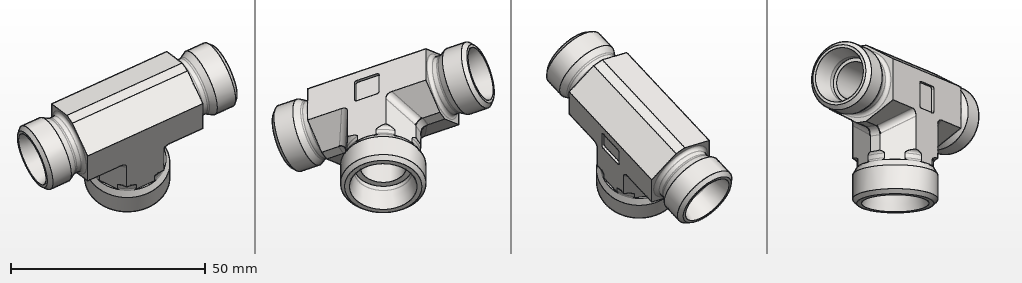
import cadquery as cq
import math


ACROSS_FLATS = 19.0
CORNER_HALF_HEIGHT = 10.15
RUN_HEX_LENGTH = 34.0
BODY_FILLET = 2.0

RUN_REACH = 28.0
BRANCH_REACH = 27.95

RUN_COLLAR_DIAMETER = 18.0
BRANCH_COLLAR_DIAMETER = 22.0
BRANCH_COLLAR_LENGTH = 7.4
RUN_GROOVE_DIAMETER = 15.7
GROOVE_DEPTH = (RUN_COLLAR_DIAMETER - RUN_GROOVE_DIAMETER) / 2
GROOVE_WIDTH = 4.55
GROOVE_TAPER = math.radians(30)
GROOVE_FILLET = 1.0
COLLAR_CHAMFER = 1.05
RUN_COLLAR_LENGTH = RUN_REACH - RUN_HEX_LENGTH / 2 - GROOVE_WIDTH

CONE_HALF_ANGLE = math.radians(12)
SOCKET_DEPTH = 7.0
RUN_BORE = 10.0
RUN_SOCKET = 12.0
RUN_CONE_MOUTH = 14.35
BRANCH_BORE = 12.0
BRANCH_SOCKET = 15.0
BRANCH_CONE_MOUTH = 17.35

PANEL_SIZE = 7.05
PANEL_CORNER_RADIUS = 0.7
PANEL_DEPTH = 0.7
PANEL_Z = -1.0

HALF_FLATS = ACROSS_FLATS / 2
FLAT_HALF_SIDE = HALF_FLATS * math.tan(math.radians(30))
CORNER_HALF_WIDTH = (2 * FLAT_HALF_SIDE - CORNER_HALF_HEIGHT) * math.tan(math.radians(60))
TOLERANCE = 0.005


def hexagon(plane):
    """Hexagon outline with flats at +X and -X and its two other corners cut off."""
    quarter = [(HALF_FLATS, FLAT_HALF_SIDE), (CORNER_HALF_WIDTH, CORNER_HALF_HEIGHT)]
    upper = quarter + [(-x, y) for x, y in reversed(quarter)]
    lower = [(-x, -y) for x, y in upper]
    return cq.Workplane(plane).polyline(upper + lower).close()


def taper_start(collar_diameter, collar_length):
    """Radius and distance from the end face where the taper runs into the groove fillet."""
    radius = collar_diameter / 2 - GROOVE_DEPTH + GROOVE_FILLET * (1 - math.cos(GROOVE_TAPER))
    distance = collar_length + (collar_diameter / 2 - radius) / math.tan(GROOVE_TAPER)
    return radius, distance


def collar(diameter, length):
    """Chamfered and tapered collar along +Z with its end face at Z = 0."""
    radius = diameter / 2
    taper_radius, taper_end = taper_start(diameter, length)
    return (
        cq.Workplane("XZ")
        .moveTo(0, 0)
        .lineTo(radius - COLLAR_CHAMFER, 0)
        .lineTo(radius, COLLAR_CHAMFER)
        .lineTo(radius, length)
        .lineTo(taper_radius, taper_end)
        .lineTo(0, taper_end)
        .close()
        .revolve(360, (0, 0, 0), (0, 1, 0))
    )


def neck(diameter, length):
    """Core left by the undercut, from the taper of the collar to the shoulder."""
    groove_radius = diameter / 2 - GROOVE_DEPTH
    taper_radius, taper_end = taper_start(diameter, length)
    shoulder = length + GROOVE_WIDTH
    groove_start = taper_end + GROOVE_FILLET * math.sin(GROOVE_TAPER)
    half_taper = GROOVE_TAPER / 2
    taper_fillet_middle = (
        groove_radius + GROOVE_FILLET * (1 - math.cos(half_taper)),
        groove_start - GROOVE_FILLET * math.sin(half_taper),
    )
    quarter_arc_inset = GROOVE_FILLET * (1 - math.cos(math.radians(45)))
    shoulder_fillet_middle = (groove_radius + quarter_arc_inset, shoulder - quarter_arc_inset)
    return (
        cq.Workplane("XZ")
        .moveTo(0, taper_end)
        .lineTo(taper_radius, taper_end)
        .threePointArc(taper_fillet_middle, (groove_radius, groove_start))
        .lineTo(groove_radius, shoulder - GROOVE_FILLET)
        .threePointArc(shoulder_fillet_middle, (groove_radius + GROOVE_FILLET, shoulder))
        .lineTo(0, shoulder)
        .close()
        .revolve(360, (0, 0, 0), (0, 1, 0))
    )


def bore(bore_diameter, socket_diameter, mouth_diameter, reach):
    """Stepped bore along +Z, from the end face at Z = 0 to the crossing point."""
    cone_depth = (mouth_diameter - socket_diameter) / 2 / math.tan(CONE_HALF_ANGLE)
    return (
        cq.Workplane("XZ")
        .moveTo(0, 0)
        .lineTo(mouth_diameter / 2, 0)
        .lineTo(socket_diameter / 2, cone_depth)
        .lineTo(socket_diameter / 2, SOCKET_DEPTH)
        .lineTo(bore_diameter / 2, SOCKET_DEPTH)
        .lineTo(bore_diameter / 2, reach)
        .lineTo(0, reach)
        .close()
        .revolve(360, (0, 0, 0), (0, 1, 0))
    )


def at_run_end(shape, side):
    """Move a shape built along +Z to the run end at +Y (side = 1) or -Y (side = -1)."""
    return shape.rotate((0, 0, 0), (1, 0, 0), side * 90).translate((0, side * RUN_REACH, 0))


def at_branch_end(shape):
    """Move a shape built along +Z to the branch end."""
    return shape.translate((0, 0, -BRANCH_REACH))


def is_body_corner(edge):
    """True for the inner corners between the hexagons, which lie in the planes |Y| = -Z."""
    start = edge.startPoint()
    end = edge.endPoint()
    in_corner_plane = all(abs(abs(p.y) + p.z) < TOLERANCE for p in (start, end))
    return in_corner_plane and abs(start.x - end.x) > TOLERANCE


run_hex = hexagon("XZ").extrude(RUN_HEX_LENGTH / 2, both=True)
_, branch_taper_end = taper_start(BRANCH_COLLAR_DIAMETER, BRANCH_COLLAR_LENGTH)
branch_hex = hexagon("XY").extrude(-(BRANCH_REACH - branch_taper_end))
body = run_hex.union(branch_hex).clean()
inner_corners = [edge for edge in body.edges().vals() if is_body_corner(edge)]
body = body.newObject(inner_corners).fillet(BODY_FILLET)

branch_neck = neck(BRANCH_COLLAR_DIAMETER, BRANCH_COLLAR_LENGTH)
branch_undercut = (
    cq.Workplane("XY", origin=(0, 0, branch_taper_end))
    .circle(BRANCH_COLLAR_DIAMETER)
    .extrude(BRANCH_COLLAR_LENGTH + GROOVE_WIDTH - branch_taper_end)
    .cut(branch_neck)
)
body = body.cut(at_branch_end(branch_undercut))
body = body.union(at_branch_end(collar(BRANCH_COLLAR_DIAMETER, BRANCH_COLLAR_LENGTH)))

run_collar = collar(RUN_COLLAR_DIAMETER, RUN_COLLAR_LENGTH)
run_neck = neck(RUN_COLLAR_DIAMETER, RUN_COLLAR_LENGTH)
for side in (1, -1):
    body = body.union(at_run_end(run_neck, side)).union(at_run_end(run_collar, side))

run_bore = bore(RUN_BORE, RUN_SOCKET, RUN_CONE_MOUTH, RUN_REACH)
for side in (1, -1):
    body = body.cut(at_run_end(run_bore, side))
body = body.cut(at_branch_end(bore(BRANCH_BORE, BRANCH_SOCKET, BRANCH_CONE_MOUTH, BRANCH_REACH)))

panel = (
    cq.Workplane("XY")
    .box(2 * PANEL_DEPTH, PANEL_SIZE, PANEL_SIZE)
    .edges("|X")
    .fillet(PANEL_CORNER_RADIUS)
    .translate((-HALF_FLATS, 0, PANEL_Z))
)
result = body.cut(panel)